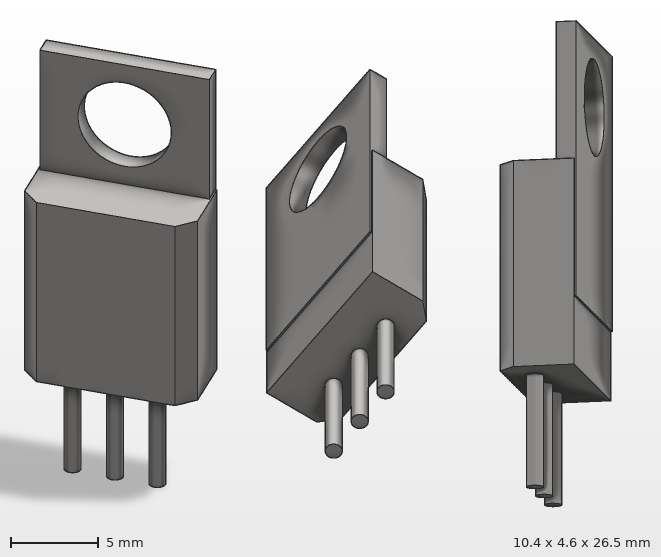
import cadquery as cq


housing_width = 10.38
housing_height = 12.0
edge_bevel_x = 1.03
edge_bevel_y = 0.98

tab_width = 10.17
tab_thickness = 1.17
tab_exposed_height = 8.0
tab_embedded_height = 8.0
hole_diameter = 5.6
hole_drop = tab_exposed_height / 2

overall_depth = 4.6
tab_proud = 0.1
housing_depth = overall_depth - tab_proud

overall_height = 26.5
lead_count = 3
lead_diameter = 0.98
lead_pitch = 2.55
lead_setback = 1.7
lead_length = overall_height - housing_height - tab_exposed_height

tab_bottom_z = housing_height - tab_embedded_height
tab_top_z = housing_height + tab_exposed_height
tab_front_y = overall_depth - tab_thickness


def make_tab_blank():
    """Plain plate, used for the tab and for its recess in the housing."""
    return (
        cq.Workplane("XY")
        .box(tab_width, tab_thickness, tab_top_z - tab_bottom_z, centered=(True, False, False))
        .translate((0, tab_front_y, tab_bottom_z))
    )


def make_tab():
    """Mounting plate with a round screw hole in its exposed part."""
    hole = (
        cq.Workplane("XZ", origin=(0, overall_depth, tab_top_z - hole_drop))
        .circle(hole_diameter / 2)
        .extrude(tab_thickness)
    )
    return make_tab_blank().cut(hole)


def make_housing():
    """Block with two bevelled front edges and a recess for the tab at the back."""
    half_width = housing_width / 2
    front_half_width = half_width - edge_bevel_x
    block = (
        cq.Workplane("XY")
        .polyline([
            (-front_half_width, 0),
            (front_half_width, 0),
            (half_width, edge_bevel_y),
            (half_width, housing_depth),
            (-half_width, housing_depth),
            (-half_width, edge_bevel_y),
        ])
        .close()
        .extrude(housing_height)
    )
    return block.cut(make_tab_blank())


def make_lead(x):
    """Round lead hanging from the housing's underside."""
    return cq.Workplane("XY", origin=(x, lead_setback, 0)).circle(lead_diameter / 2).extrude(-lead_length)


housing = make_housing()
tab = make_tab()
leads = []
for index in range(lead_count):
    lead_x = (index - (lead_count - 1) / 2) * lead_pitch
    leads.append(make_lead(lead_x).val())

result = cq.Compound.makeCompound([housing.val(), tab.val(), *leads])